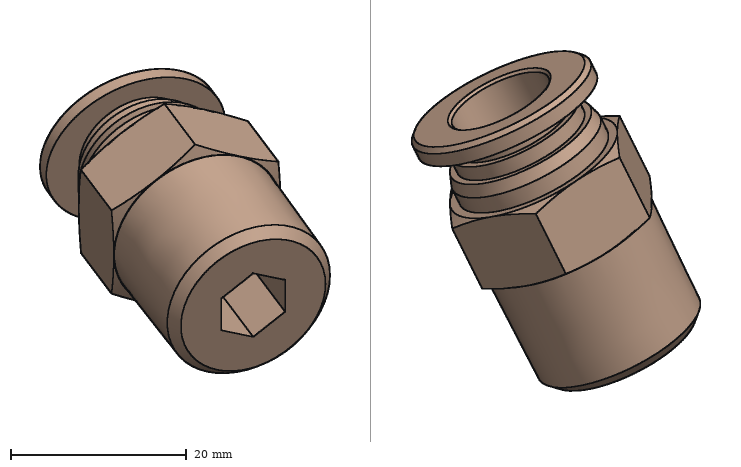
import cadquery as cq
import math

overall_length = 33.8

flange_width = 22.5
flange_height = 19.47
flange_end = 2.3
flange_chamfer_length = 0.57
flange_chamfer_depth = 0.55

inner_neck_radius = 7.13
inner_neck_end = 4.0
outer_neck_radius = 8.05
outer_neck_end = 5.8
collar_nose_radius = 8.9
collar_radius = 9.4
collar_cone_end = 7.3

hexagon_flats = 21.0
hexagon_start = 9.35
hexagon_end = 18.8
hexagon_bevel_length = 0.6

shank_start_radius = 10.45
shank_end_radius = 10.25
shank_chamfer_length = 1.2
shank_tip_radius = 9.1

bore_radius = 6.12
bore_lip = 0.35
bore_depth = hexagon_end
key_flats = 8.0


def corner_diameter(flats):
    """Distance across the corners of a regular hexagon."""
    return flats / math.cos(math.pi / 6)


def hexagon_bar(flats, start, end):
    """Hexagonal prism along X with its corners pointing up and down."""
    bar = cq.Workplane("YZ", origin=(start, 0, 0)).polygon(6, corner_diameter(flats)).extrude(end - start)
    return bar.rotate((0, 0, 0), (1, 0, 0), 90)


def revolve_profile(points):
    """Solid of revolution about X from (x, radius) points."""
    return cq.Workplane("XY").polyline(points).close().revolve(360, (0, 0, 0), (1, 0, 0))


def make_flange():
    """Oval plate with a bevelled front rim."""
    half_width = flange_width / 2
    half_height = flange_height / 2
    bevel = (
        cq.Workplane("YZ")
        .ellipse(half_width - flange_chamfer_depth, half_height - flange_chamfer_depth)
        .workplane(offset=flange_chamfer_length)
        .ellipse(half_width, half_height)
        .loft(ruled=True)
    )
    plate = (
        cq.Workplane("YZ", origin=(flange_chamfer_length, 0, 0))
        .ellipse(half_width, half_height)
        .extrude(flange_end - flange_chamfer_length)
    )
    return bevel.union(plate)


def make_neck():
    """Two cylindrical steps and a cone-nosed collar."""
    return revolve_profile([
        (flange_end, 0),
        (flange_end, inner_neck_radius),
        (inner_neck_end, inner_neck_radius),
        (inner_neck_end, outer_neck_radius),
        (outer_neck_end, outer_neck_radius),
        (outer_neck_end, collar_nose_radius),
        (collar_cone_end, collar_radius),
        (hexagon_start, collar_radius),
        (hexagon_start, 0),
    ])


def make_hexagon():
    """Hexagon nut with the corners turned down at both ends."""
    flat_radius = hexagon_flats / 2
    corner_radius = corner_diameter(hexagon_flats) / 2
    turned_envelope = revolve_profile([
        (hexagon_start, 0),
        (hexagon_start, flat_radius),
        (hexagon_start + hexagon_bevel_length, corner_radius),
        (hexagon_end - hexagon_bevel_length, corner_radius),
        (hexagon_end, flat_radius),
        (hexagon_end, 0),
    ])
    return hexagon_bar(hexagon_flats, hexagon_start, hexagon_end).intersect(turned_envelope)


def make_shank():
    """Slightly tapered shank with a chamfered end."""
    return revolve_profile([
        (hexagon_end, 0),
        (hexagon_end, shank_start_radius),
        (overall_length - shank_chamfer_length, shank_end_radius),
        (overall_length, shank_tip_radius),
        (overall_length, 0),
    ])


def make_bore():
    """Round tube bore with a countersunk mouth."""
    return revolve_profile([
        (0, 0),
        (0, bore_radius + bore_lip),
        (bore_lip, bore_radius),
        (bore_depth, bore_radius),
        (bore_depth, 0),
    ])


body = make_flange().union(make_neck()).union(make_hexagon()).union(make_shank())
key_passage = hexagon_bar(key_flats, 0, overall_length)
result = body.cut(make_bore()).cut(key_passage)